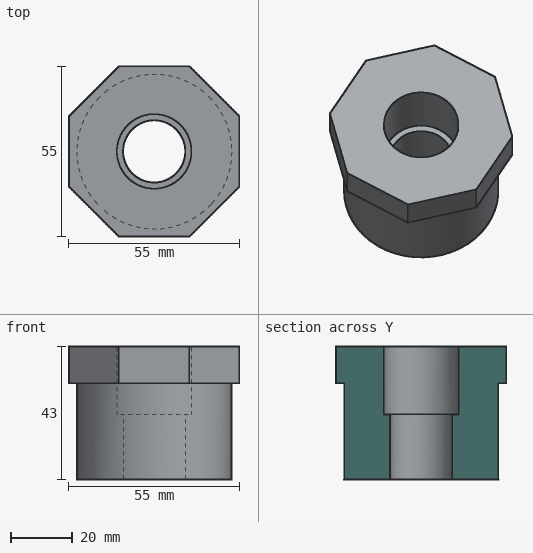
import cadquery as cq
import math

across_flats = 55.0
total_height = 43.0
head_height = 12.0
spigot_diameter = 50.0
bore_diameter = 20.0
socket_diameter = 24.1
socket_depth = 22.0

head_sides = 8
across_corners = across_flats / math.cos(math.pi / head_sides)
half_side_angle = 180.0 / head_sides
spigot_height = total_height - head_height

spigot = cq.Workplane("XY").circle(spigot_diameter / 2).extrude(spigot_height)

head = (
    cq.Workplane("XY")
    .polygon(head_sides, across_corners)
    .extrude(head_height)
    .rotate((0, 0, 0), (0, 0, 1), half_side_angle)
    .translate((0, 0, spigot_height))
)

bore = cq.Workplane("XY").circle(bore_diameter / 2).extrude(total_height)
socket = (
    cq.Workplane("XY")
    .workplane(offset=total_height - socket_depth)
    .circle(socket_diameter / 2)
    .extrude(socket_depth)
)

result = spigot.union(head).cut(bore).cut(socket)